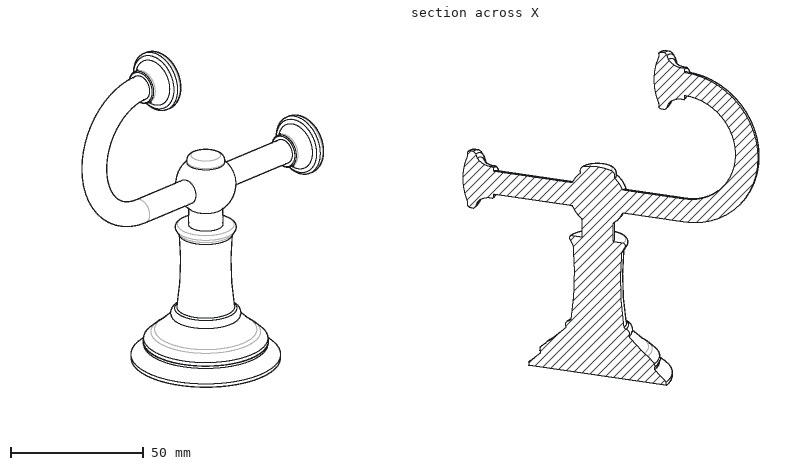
import cadquery as cq
import math

arm_radius = 4.72
bend_radius = 25.4
arm_height = 71.35
ball_radius = 11.4
bend_start_y = -35.74
straight_end_y = 42.53

base_radius = 28.28
base_rim_height = 1.4
band_radius = 23.75
band_seat_radius = 23.5
band_bottom = 5.7
band_middle = 6.7
band_top = 8.1
shoulder_radius = 20.7
shoulder_height = 10.7
upper_cone_radius = 19.3
upper_cone_height = 11.6

bead_seat_radius = 12.95
bead_bottom = 17.5
bead_radius = 13.25
bead_middle = 18.7
bead_top_radius = 11.75
bead_top = 20.3

column_bottom_radius = 10.95
column_bottom = 20.9
waist_radius = 9.6
waist_height = 36.0
column_top_radius = 10.05
column_top = 50.8

collar_radius = 11.4
collar_seat_radius = 10.7
collar_seat_height = 51.9
collar_middle = 53.1
collar_top_radius = 10.7
collar_top = 54.75

neck_radius = 6.5

finial_radius = 7.15
finial_rim_height = 0.5
finial_top_radius = 5.6
finial_shoulder_height = 83.2
finial_top = 83.9

knob_length = 12.7
knob_radius = 11.5
knob_face_radius = 9.4
knob_rim_front_radius = 10.8
knob_rim_back_radius = 10.5
knob_flare_radius = 8.9
knob_collar_radius = 6.4
knob_collar_chamfer = 0.4
knob_dome_depth = 2.0
knob_rim_front = 3.3
knob_rim_back = 4.55
knob_rim_end = 5.5
knob_flare_start = 6.1
knob_flare_end = 11.4


def dome_arc_point(rim_radius, rise):
    """Offsets of the halfway point of a dome arc: radius, and drop below the apex."""
    sphere_radius = (rim_radius**2 + rise**2) / (2 * rise)
    half_angle = math.asin(rim_radius / sphere_radius) / 2
    return sphere_radius * math.sin(half_angle), sphere_radius * (1 - math.cos(half_angle))


def make_pedestal():
    """Base, bead, column, collar and neck, revolved about Z."""
    profile = (
        cq.Workplane("XZ")
        .lineTo(base_radius, 0)
        .lineTo(base_radius, base_rim_height)
        .lineTo(band_seat_radius, band_bottom)
        .lineTo(band_seat_radius, band_middle)
        .lineTo(band_radius, band_middle)
        .lineTo(band_seat_radius, band_top)
        .lineTo(shoulder_radius, shoulder_height)
        .lineTo(upper_cone_radius, upper_cone_height)
        .lineTo(bead_seat_radius, bead_bottom)
        .threePointArc((bead_radius, bead_middle), (bead_top_radius, bead_top))
        .lineTo(column_bottom_radius, column_bottom)
        .threePointArc((waist_radius, waist_height), (column_top_radius, column_top))
        .lineTo(collar_seat_radius, collar_seat_height)
        .lineTo(collar_radius, collar_middle)
        .tangentArcPoint((collar_top_radius, collar_top), relative=False)
        .lineTo(neck_radius, collar_top)
        .lineTo(neck_radius, arm_height)
        .lineTo(0, arm_height)
        .close()
    )
    return profile.revolve(360, (0, 0, 0), (0, 1, 0))


def make_finial():
    """Rounded button with a shallow domed top, seated on the ball."""
    seat_height = arm_height + math.sqrt(ball_radius**2 - finial_radius**2)
    rim_top = seat_height + finial_rim_height
    dome_radius, dome_drop = dome_arc_point(finial_top_radius, finial_top - finial_shoulder_height)
    shoulder_share = math.sin(math.pi / 4)
    shoulder_point = (
        finial_top_radius + (finial_radius - finial_top_radius) * shoulder_share,
        rim_top + (finial_shoulder_height - rim_top) * shoulder_share,
    )
    profile = (
        cq.Workplane("XZ")
        .moveTo(0, arm_height)
        .lineTo(finial_radius, arm_height)
        .lineTo(finial_radius, rim_top)
        .threePointArc(shoulder_point, (finial_top_radius, finial_shoulder_height))
        .threePointArc((dome_radius, finial_top - dome_drop), (0, finial_top))
        .close()
    )
    return profile.revolve(360, (0, 0, 0), (0, 1, 0))


def make_knob(back_y, height):
    """Domed, flared knob facing +Y, with its back face at back_y."""
    tip_y = back_y + knob_length
    dome_radius, dome_drop = dome_arc_point(knob_face_radius, knob_dome_depth)
    profile = (
        cq.Workplane("XY")
        .workplane(offset=height)
        .moveTo(0, back_y)
        .lineTo(knob_collar_radius - knob_collar_chamfer, back_y)
        .lineTo(knob_collar_radius, back_y + knob_collar_chamfer)
        .lineTo(knob_collar_radius, tip_y - knob_flare_end)
        .tangentArcPoint((knob_flare_radius, tip_y - knob_flare_start), relative=False)
        .lineTo(knob_rim_back_radius, tip_y - knob_rim_end)
        .lineTo(knob_radius, tip_y - knob_rim_back)
        .lineTo(knob_radius, tip_y - knob_rim_front)
        .tangentArcPoint((knob_rim_front_radius, tip_y - knob_dome_depth), relative=False)
        .lineTo(knob_face_radius, tip_y - knob_dome_depth)
        .threePointArc((dome_radius, tip_y - dome_drop), (0, tip_y))
        .close()
    )
    return profile.revolve(360, (0, 0, 0), (0, 1, 0))


def make_arm():
    """Round bar along Y that ends in a half-turn bend rising on the -Y side."""
    straight_length = straight_end_y - bend_start_y
    straight = (
        cq.Workplane("XZ", origin=(0, straight_end_y, arm_height))
        .circle(arm_radius)
        .extrude(straight_length)
    )
    bend = (
        cq.Workplane("XZ", origin=(0, bend_start_y, arm_height))
        .circle(arm_radius)
        .revolve(180, (1, bend_radius, 0), (-1, bend_radius, 0))
    )
    return straight.union(bend)


ball = cq.Workplane("XY").sphere(ball_radius).translate((0, 0, arm_height))
hook_height = arm_height + 2 * bend_radius

result = (
    make_pedestal()
    .union(ball)
    .union(make_finial())
    .union(make_arm())
    .union(make_knob(straight_end_y, arm_height))
    .union(make_knob(bend_start_y, hook_height))
)